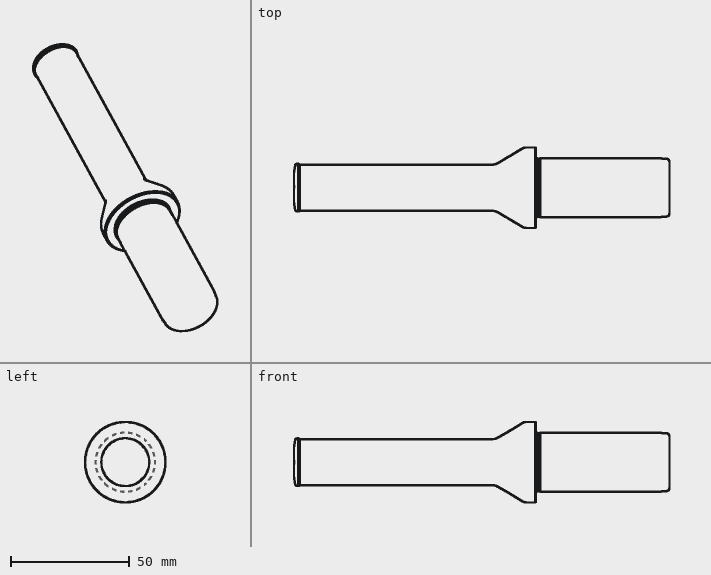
import cadquery as cq

total_length = 158.0

head_radius = 10.1
head_length = 1.7
corner_radius = 1.3
outer_peak_radius = 6.5
valley_radius = 4.9
inner_peak_radius = 3.3
face_slope = 0.15

neck_radius = 19.5 / 2
relief_end = 2.5
neck_end = 84.7
neck_fillet = 5.5

flange_radius = 34.0 / 2
flange_start = 96.9
flange_end = 101.9
flange_fillet = 2.8
flange_chamfer = 0.5

shank_radius = 25.0 / 2
reduced_radius = 24.5 / 2
undercut_end = 103.2
shank_start = 103.8
shank_end = 154.2
step_end = 155.0
shank_fillet = 1.5


def revolve_about_x(profile):
    """Turn a closed (axial, radial) profile around the tool axis."""
    return profile.close().revolve(360, (0, 0, 0), (1, 0, 0))


def circular_edge(x, radius):
    """Select the circular edge of the given radius at axial position x."""
    tolerance = 0.02
    return cq.selectors.BoxSelector(
        (x - tolerance, -radius - tolerance, -radius - tolerance),
        (x + tolerance, radius + tolerance, radius + tolerance),
        boundingbox=True,
    )


def make_cutting_head():
    """Disc with a shallow W-shaped face and a rounded outer corner."""
    valley_depth = (outer_peak_radius - valley_radius) * face_slope
    inner_peak_depth = valley_depth - (valley_radius - inner_peak_radius) * face_slope
    centre_depth = inner_peak_depth + inner_peak_radius * face_slope
    corner_depth = (head_radius - outer_peak_radius) * face_slope
    head = revolve_about_x(
        cq.Workplane("XY")
        .moveTo(centre_depth, 0)
        .lineTo(inner_peak_depth, inner_peak_radius)
        .lineTo(valley_depth, valley_radius)
        .lineTo(0, outer_peak_radius)
        .lineTo(corner_depth, head_radius)
        .lineTo(head_length, head_radius)
        .lineTo(head_length, 0)
    )
    return head.edges(circular_edge(corner_depth, head_radius)).fillet(corner_radius)


def make_holder():
    """Neck, conical flange and clamping shank turned from one piece."""
    holder = revolve_about_x(
        cq.Workplane("XY")
        .moveTo(head_length, 0)
        .lineTo(head_length, head_radius)
        .lineTo(relief_end, neck_radius)
        .lineTo(neck_end, neck_radius)
        .lineTo(flange_start, flange_radius)
        .lineTo(flange_end, flange_radius)
        .lineTo(flange_end, reduced_radius)
        .lineTo(undercut_end, reduced_radius)
        .lineTo(shank_start, shank_radius)
        .lineTo(shank_end, shank_radius)
        .lineTo(step_end, reduced_radius)
        .lineTo(total_length, reduced_radius)
        .lineTo(total_length, 0)
    )
    holder = holder.edges(circular_edge(neck_end, neck_radius)).fillet(neck_fillet)
    holder = holder.edges(circular_edge(flange_start, flange_radius)).fillet(flange_fillet)
    holder = holder.edges(circular_edge(flange_end, flange_radius)).chamfer(flange_chamfer)
    return holder.edges(circular_edge(total_length, reduced_radius)).fillet(shank_fillet)


cutting_head = make_cutting_head()
holder = make_holder()

result = cq.Compound.makeCompound([cutting_head.val(), holder.val()])